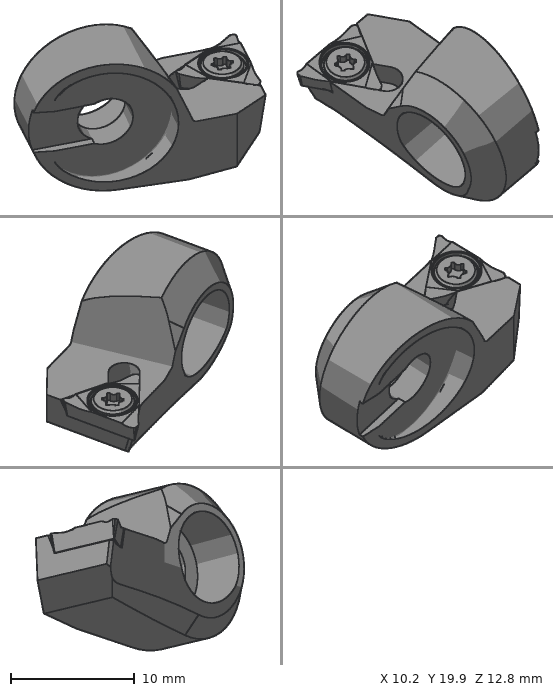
import cadquery as cq
import math


ring_radius = 6.4
ring_chamfer = 2.0
end_face_x = 7.43
end_face_angle = 11.1
flank_tangent_angle = 47
slope_root_depth = 1.0
bore_radius = 3.75
bore_depth = 4.42
through_hole_radius = 2.25
counterbore_radius = 5.5
counterbore_floor_x = 6.57
counterbore_fillet = 0.15
notch_width = 4.0
notch_floor_x = 5.9

arm_right_x = 8.67
arm_top_z = -0.05
arm_front_y = 13.38
arm_bottom_angle = 5.6
side_x = -0.28
side_draft = 9.5
front_draft = 10.6
front_chamfer_top_z = -3.4
front_chamfer_angle = 40
right_corner_y = 10.4
side_corner_fillet = 4.0
nose_bevel_run = 0.41
nose_bevel_turn = 45
nose_bevel_draft = 19.5
bottom_chamfer_rise = 0.33
bottom_chamfer_mid_rise = 0.75
bottom_chamfer_level_y = 8.0
recess_y = 5.5
recess_run_out_y = 6.94
wall_y = 5.27
wall_turn = 9.6
wall_lean = 20.6
wall_fillet = 0.4
wall_foot_height = 1.25
stock = 40.0

insert_center = (1.97, 11.33)
insert_inradius = 2.17
half_corner = 30
nose_count = 3
insert_thickness = 1.6
insert_relief = 10.6
side_relief_y = 10.8
nose_cut = 0.29
nose_chamfer = 0.15
groove_start_x = -0.84
groove_end_x = -0.225
groove_depth = 0.17
groove_mid_depth = 0.136
overrun = 1.0
flank_clearance = 0.14
hole_rim_radius = 2.05
hole_radius = 1.95
hole_floor_radius = 1.85
hole_rim_depth = 0.06
hole_depth = 0.35

slot_radius = 1.27
slot_center = (3.06, 7.67)
slot_length = 1.4
slot_draft = 6.5
slot_draft_depth = 1.0
slot_depth = 2.0

screw_center = (1.98, 11.24)
screw_head_radius = 1.755
screw_rim_radius = 1.55
screw_top_z = 0.1
screw_shank_radius = 0.95
screw_cone_half_angle = 30
screw_end_z = -3.4
dish_radius = 1.1
dish_floor_radius = 0.6
dish_depth = 0.1
drive_tip_radius = 0.9
drive_valley_radius = 0.65
drive_flank_radius = 0.76
drive_lobe_half_angle = 11
drive_lobes = 6
drive_turn = 3
drive_depth = 0.8


def cosd(angle):
    return math.cos(math.radians(angle))


def sind(angle):
    return math.sin(math.radians(angle))


def tand(angle):
    return math.tan(math.radians(angle))


def trim(body, point, outward):
    """Remove everything beyond the plane through a point with an outward normal."""
    plane = cq.Plane(origin=point, normal=outward)
    return body.cut(cq.Workplane(plane).rect(2 * stock, 2 * stock).extrude(stock))


def drafted(plan_x, plan_y, draft):
    """Outward normal of a face that leans inward below, from its direction in plan."""
    return (plan_x * cosd(draft), plan_y * cosd(draft), -sind(draft))


def on_x(x):
    """Workplane across the ring axis, drawn in Y and Z."""
    return cq.Workplane("YZ", origin=(x, 0, 0))


side_length = insert_inradius * 2 * math.sqrt(3)
edge_y = insert_center[1] + insert_inradius
corner_x = insert_center[0] - side_length / 2
side_normal = drafted(-1, 0, side_draft)


def triangle_corners():
    return [
        (corner_x, edge_y),
        (corner_x + side_length, edge_y),
        (insert_center[0], insert_center[1] - 2 * insert_inradius),
    ]


def turn_about_insert(body, angle):
    x, y = insert_center
    return body.rotate((x, y, 0), (x, y, 1), angle)


def ring_blank():
    ring = on_x(0).circle(ring_radius).extrude(arm_right_x).faces("<X").chamfer(ring_chamfer)
    tangent_y = ring_radius * sind(flank_tangent_angle)
    tangent_z = ring_radius * cosd(flank_tangent_angle)
    foot_y = ring_radius / sind(flank_tangent_angle)
    slope = (
        on_x(0)
        .polyline([
            (0, -slope_root_depth), (tangent_y, tangent_z), (foot_y, 0), (foot_y, -slope_root_depth),
        ])
        .close().extrude(arm_right_x)
        .faces("<X").edges(">(0, 1, 1)").chamfer(ring_chamfer)
    )
    slope = slope.intersect(on_x(0).circle(ring_radius).extrude(arm_right_x))
    return ring.union(slope)


def arm_blank():
    tangent_y = ring_radius * sind(arm_bottom_angle)
    tangent_z = -ring_radius * cosd(arm_bottom_angle)
    block = cq.Workplane("XY").box(stock, stock, stock, centered=(True, False, False))
    block = block.translate((arm_right_x - stock / 2, tangent_y, wall_foot_height - stock))

    flank_x = corner_x + flank_clearance / cosd(half_corner)
    main_part = trim(block, (side_x, 0, 0), side_normal)
    flank_normal = drafted(-cosd(half_corner), -sind(half_corner), insert_relief)
    nose_part = trim(block, (flank_x, edge_y, 0), flank_normal)
    arm = main_part.union(nose_part)
    mid_z = wall_foot_height - stock / 2
    inset = -mid_z * tand(side_draft)
    flank_inset = -mid_z * tand(insert_relief) / cosd(half_corner)
    corner_middle = (
        side_x + inset,
        edge_y - (side_x + inset - flank_x - flank_inset) / tand(half_corner),
        mid_z,
    )
    arm = arm.edges(cq.selectors.NearestToPointSelector(corner_middle)).fillet(side_corner_fillet)

    arm = trim(arm, (0, arm_front_y, 0), drafted(0, 1, front_draft))
    nose_x = flank_x + (edge_y - arm_front_y) * tand(half_corner)
    nose_bevel_normal = drafted(-sind(nose_bevel_turn), cosd(nose_bevel_turn), nose_bevel_draft)
    bevel_point = (nose_x + nose_bevel_run, arm_front_y, 0)
    arm = trim(arm, bevel_point, nose_bevel_normal)
    chamfer_y = arm_front_y + front_chamfer_top_z * tand(front_draft)
    arm = trim(
        arm,
        (0, chamfer_y, front_chamfer_top_z),
        (0, sind(front_chamfer_angle), -cosd(front_chamfer_angle)),
    )
    arm = trim(arm, (arm_right_x, right_corner_y, 0), (cosd(half_corner), sind(half_corner), 0))

    arm = trim(arm, (0, tangent_y, tangent_z), (0, sind(arm_bottom_angle), -cosd(arm_bottom_angle)))
    return arm.cut(bottom_chamfer_cutter(tangent_y, tangent_z))


def bottom_chamfer_cutter(start_y, start_z):
    """45 degree cutter that leaves the ring's chamfer in an arc and then runs level."""
    plane = cq.Plane(origin=(ring_chamfer, 0, start_z), xDir=(0, 1, 0), normal=(1, 0, -1))
    mid_y = (start_y + bottom_chamfer_level_y) / 2
    rise = bottom_chamfer_rise / math.sqrt(2)
    return (
        cq.Workplane(plane)
        .moveTo(start_y, 0)
        .threePointArc((mid_y, bottom_chamfer_mid_rise * rise), (bottom_chamfer_level_y, rise))
        .lineTo(stock, rise).lineTo(stock, -stock).lineTo(start_y, -stock).close()
        .extrude(stock, both=True)
    )


def back_wall_cutter():
    """Space above the arm, bounded by the leaning back wall with a rounded foot."""
    height = 2 * ring_radius
    lean_run = height * tand(wall_lean)
    space = (
        cq.Workplane("YZ", origin=(-stock / 2, 0, 0))
        .polyline([(0, 0), (stock, 0), (stock, height), (-lean_run, height)]).close().extrude(stock)
        .edges(cq.selectors.NearestToPointSelector((0, 0, 0))).fillet(wall_fillet)
    )
    return space.rotate((0, 0, 0), (0, 0, 1), wall_turn).translate((0, wall_y, arm_top_z))


def face_recess_cutter():
    """Space in front of the ring's end face, running out obliquely through the arm's side."""
    return (
        cq.Workplane("XY", origin=(0, 0, -stock / 2))
        .polyline([
            (0, -stock), (0, recess_y), (side_x, recess_run_out_y),
            (-stock, recess_run_out_y), (-stock, -stock),
        ])
        .close().extrude(stock)
    )


def chip_slot_cutter():
    """Round-ended slot parallel to the insert's left edge, drafted near the top."""
    outline = (
        cq.Workplane("XY")
        .moveTo(-slot_radius, slot_length).lineTo(-slot_radius, 0)
        .threePointArc((0, -slot_radius), (slot_radius, 0))
        .lineTo(slot_radius, slot_length).close()
    )
    upper = outline.extrude(-slot_draft_depth, taper=slot_draft)
    lower = upper.faces("<Z").wires().toPending().workplane().extrude(slot_depth - slot_draft_depth)
    slot = lower.rotate((0, 0, 0), (0, 0, 1), half_corner)
    return slot.translate((slot_center[0], slot_center[1], arm_top_z))


def side_relief_cutter():
    """Clears the arm to the left of the insert, down to the seat."""
    relief_x = corner_x + (edge_y - side_relief_y) * tand(half_corner)
    relief_x += insert_thickness * tand(insert_relief) / cosd(half_corner)
    relief = cq.Workplane("XY", origin=(relief_x - stock, side_relief_y, -insert_thickness))
    return relief.box(stock, stock, stock, centered=False)


def insert_blank():
    """Sharp-cornered triangle, smaller at the bottom."""
    triangle = cq.Workplane("XY").polyline(triangle_corners()).close()
    return triangle.extrude(-insert_thickness, taper=insert_relief)


def cut_ring_bores(body):
    body = body.cut(on_x(bore_depth).circle(bore_radius).extrude(-stock))
    body = body.cut(on_x(0).circle(through_hole_radius).extrude(stock))
    counterbore = (
        on_x(counterbore_floor_x).circle(counterbore_radius).extrude(ring_radius)
        .faces("<X").edges().fillet(counterbore_fillet)
    )
    body = body.cut(counterbore)
    notch = on_x(notch_floor_x).center(-stock / 2, 0).rect(stock, notch_width).extrude(stock)
    return body.cut(notch)


def make_holder():
    body = trim(ring_blank(), (side_x, 0, 0), side_normal).union(arm_blank())
    body = trim(body, (end_face_x, 0, 0), (cosd(end_face_angle), -sind(end_face_angle), 0))
    body = body.cut(back_wall_cutter()).cut(face_recess_cutter())
    body = cut_ring_bores(body)
    body = body.cut(insert_blank())
    body = body.cut(side_relief_cutter())
    body = body.cut(chip_slot_cutter())
    return body.cut(screw_blank())


def turned(profile, center):
    """Revolve a radius-and-height profile about a vertical axis."""
    body = cq.Workplane("XZ").polyline(profile).close().revolve(360, (0, 0, 0), (0, 1, 0))
    return body.translate((*center, 0))


def screw_blank():
    """Turned shape of the screw."""
    cone_top_z = -hole_depth
    cone_bottom_z = cone_top_z - (screw_head_radius - screw_shank_radius) / tand(screw_cone_half_angle)
    profile = [
        (0, screw_top_z), (screw_rim_radius, screw_top_z),
        (screw_head_radius, screw_top_z - (screw_head_radius - screw_rim_radius)),
        (screw_head_radius, cone_top_z), (screw_shank_radius, cone_bottom_z),
        (screw_shank_radius, screw_end_z), (0, screw_end_z),
    ]
    return turned(profile, screw_center)


def drive_point(radius, angle):
    turned_angle = 90 - drive_turn + angle
    return (radius * cosd(turned_angle), radius * sind(turned_angle))


def drive_recess():
    """Six-lobed recess: a round lobe and a round valley in turn."""
    lobe_pitch = 360 / drive_lobes
    outline = cq.Workplane("XY").moveTo(*drive_point(drive_flank_radius, -drive_lobe_half_angle))
    for lobe in range(drive_lobes):
        tip = lobe * lobe_pitch
        valley = tip + lobe_pitch / 2
        next_lobe = tip + lobe_pitch
        outline = outline.threePointArc(
            drive_point(drive_tip_radius, tip),
            drive_point(drive_flank_radius, tip + drive_lobe_half_angle),
        ).threePointArc(
            drive_point(drive_valley_radius, valley),
            drive_point(drive_flank_radius, next_lobe - drive_lobe_half_angle),
        )
    recess = outline.close().extrude(-drive_depth)
    return recess.translate((*screw_center, screw_top_z))


def make_screw():
    dish = (
        cq.Workplane("XY", origin=(*screw_center, screw_top_z)).circle(dish_radius)
        .workplane(offset=-dish_depth).circle(dish_floor_radius).loft()
    )
    return screw_blank().cut(dish).cut(drive_recess())


def nose_cutter():
    """Blunts the left corner: a flat square to the edge, and a small chamfer where the two meet."""
    flat_x = corner_x + nose_cut
    return (
        cq.Workplane("XY")
        .polyline([
            (flat_x, edge_y - side_length / 2), (flat_x, edge_y - nose_chamfer),
            (flat_x + nose_chamfer, edge_y), (flat_x + nose_chamfer, edge_y + overrun),
            (corner_x - overrun, edge_y + overrun), (corner_x - overrun, edge_y - side_length / 2),
        ])
        .close().extrude(-insert_thickness, taper=-insert_relief)
    )


def chip_groove_cutter():
    """Sloping nose top that sweeps up through a hollow to the insert's top face."""
    tip_x = corner_x + nose_cut
    slope = groove_depth / (groove_start_x - tip_x)
    groove_mid_x = (groove_start_x + groove_end_x) / 2
    return (
        cq.Workplane("XZ", origin=(0, edge_y + overrun, 0))
        .moveTo(tip_x - overrun, slope * overrun).lineTo(groove_start_x, -groove_depth)
        .threePointArc((groove_mid_x, -groove_mid_depth), (groove_end_x, 0))
        .lineTo(groove_end_x, overrun).lineTo(tip_x - overrun, overrun).close().extrude(side_length / 2)
    )


def make_insert():
    insert = insert_blank()
    for corner in range(nose_count):
        turn = corner * 360 / nose_count
        insert = insert.cut(turn_about_insert(nose_cutter(), turn))
        insert = insert.cut(turn_about_insert(chip_groove_cutter(), turn))
    profile = [
        (0, 0), (hole_rim_radius, 0), (hole_radius, -hole_rim_depth),
        (hole_floor_radius, -hole_depth), (0, -hole_depth),
    ]
    countersink = turned(profile, insert_center)
    return insert.cut(countersink).cut(screw_blank())


holder = make_holder()
insert = make_insert()
screw = make_screw()

result = cq.Compound.makeCompound([holder.val(), insert.val(), screw.val()])